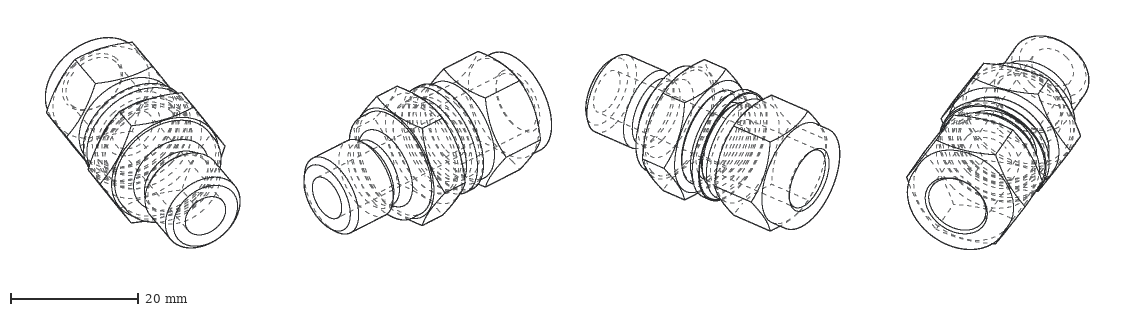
import cadquery as cq
import math


SLEEVE_DIA = 17.0
SLEEVE_ROUND = 0.5
NUT_HEX_START = 3.0
NUT_HEX_END = 11.97
NUT_ACROSS_FLATS = 17.46
NUT_COLLAR_DIA = 16.8
NUT_END = 14.0
NUT_END_ROUND = 0.3

GAP_DIA = 14.28
GAP_END = 15.58
NECK_DIA = 13.05
RECESS_DIA = 17.8
FLANGE_START = 14.83
FLANGE_DIA = 18.25
FLANGE_WIDTH = 1.25
SHOULDER_DIA = 15.8
SHOULDER_CHAMFER = 0.3

BODY_HEX_START = 19.28
BODY_HEX_END = 25.3
BODY_ACROSS_FLATS = 19.05
BODY_FRONT_FACE_DIA = 18.85
BODY_BACK_FACE_DIA = 18.85
HEX_CHAMFER_ANGLE = 30.0
COLLAR_DIA = 17.8
COLLAR_END = 27.3
COLLAR_ROUND = 0.2

CONE_DIA = 13.16
CONE_END = 29.15
UNDERCUT_DIA = 11.2
UNDERCUT_END = 30.3
THREAD_DIA = 13.16
THREAD_CHAMFER = 0.93
TOTAL_LENGTH = 39.31

BORE_DIA = 7.11
SOCKET_DIA = 9.73
SOCKET_DEPTH = NUT_END
SOCKET_CHAMFER = 0.42


def revolve_about_x(profile):
    return profile.close().revolve(360, (0, 0, 0), (1, 0, 0))


def cylinder(start, end, diameter):
    return cq.Workplane("YZ").workplane(offset=start).circle(diameter / 2).extrude(end - start)


def chamfered_hexagon(start, end, across_flats, front_face_dia, back_face_dia):
    """Hexagon with flats facing +Z and -Z, its corners turned down by a cone at each end."""
    corner_radius = across_flats / math.sqrt(3)
    slope = math.tan(math.radians(HEX_CHAMFER_ANGLE))
    front_length = (corner_radius - front_face_dia / 2) * slope
    back_length = (corner_radius - back_face_dia / 2) * slope
    prism = cq.Workplane("YZ").workplane(offset=start).polygon(6, 2 * corner_radius).extrude(end - start)
    envelope = revolve_about_x(
        cq.Workplane("XY")
        .moveTo(start, 0)
        .lineTo(start, front_face_dia / 2)
        .lineTo(start + front_length, corner_radius)
        .lineTo(end - back_length, corner_radius)
        .lineTo(end, back_face_dia / 2)
        .lineTo(end, 0)
    )
    return prism.intersect(envelope)


def tube_nut():
    sleeve = cylinder(0, NUT_HEX_START, SLEEVE_DIA).faces("<X").edges().fillet(SLEEVE_ROUND)
    hexagon = chamfered_hexagon(
        NUT_HEX_START, NUT_HEX_END, NUT_ACROSS_FLATS, SLEEVE_DIA, NUT_COLLAR_DIA
    )
    collar = cylinder(NUT_HEX_END, NUT_END, NUT_COLLAR_DIA).faces(">X").edges().fillet(NUT_END_ROUND)
    return sleeve.union(hexagon).union(collar)


def flange_and_shoulder():
    """Gap and neck, inside a flange with a 45 degree conical recess and a 45 degree back."""
    neck_start = GAP_END + (GAP_DIA - NECK_DIA) / 2
    recess_end = FLANGE_START + (RECESS_DIA - NECK_DIA) / 2
    flange_end = FLANGE_START + FLANGE_WIDTH
    shoulder_start = flange_end + (FLANGE_DIA - SHOULDER_DIA) / 2
    return revolve_about_x(
        cq.Workplane("XY")
        .moveTo(NUT_END, 0)
        .lineTo(NUT_END, GAP_DIA / 2)
        .lineTo(GAP_END, GAP_DIA / 2)
        .lineTo(neck_start, NECK_DIA / 2)
        .lineTo(recess_end, NECK_DIA / 2)
        .lineTo(FLANGE_START, RECESS_DIA / 2)
        .lineTo(FLANGE_START, FLANGE_DIA / 2)
        .lineTo(flange_end, FLANGE_DIA / 2)
        .lineTo(shoulder_start, SHOULDER_DIA / 2)
        .lineTo(BODY_HEX_START - SHOULDER_CHAMFER, SHOULDER_DIA / 2)
        .lineTo(BODY_HEX_START, SHOULDER_DIA / 2 - SHOULDER_CHAMFER)
        .lineTo(BODY_HEX_START, 0)
    )


def body_hexagon():
    hexagon = chamfered_hexagon(
        BODY_HEX_START, BODY_HEX_END, BODY_ACROSS_FLATS, BODY_FRONT_FACE_DIA, BODY_BACK_FACE_DIA
    )
    collar = cylinder(BODY_HEX_END, COLLAR_END, COLLAR_DIA).faces(">X").edges().fillet(COLLAR_ROUND)
    return hexagon.union(collar)


def threaded_end():
    """Cone down to the undercut, then the plain thread cylinder with 45 degree ends."""
    thread_start = UNDERCUT_END + (THREAD_DIA - UNDERCUT_DIA) / 2
    return revolve_about_x(
        cq.Workplane("XY")
        .moveTo(COLLAR_END, 0)
        .lineTo(COLLAR_END, CONE_DIA / 2)
        .lineTo(CONE_END, UNDERCUT_DIA / 2)
        .lineTo(UNDERCUT_END, UNDERCUT_DIA / 2)
        .lineTo(thread_start, THREAD_DIA / 2)
        .lineTo(TOTAL_LENGTH - THREAD_CHAMFER, THREAD_DIA / 2)
        .lineTo(TOTAL_LENGTH, THREAD_DIA / 2 - THREAD_CHAMFER)
        .lineTo(TOTAL_LENGTH, 0)
    )


def bores():
    """Through bore, and the tube socket with its chamfered mouth."""
    return revolve_about_x(
        cq.Workplane("XY")
        .moveTo(0, 0)
        .lineTo(0, SOCKET_DIA / 2 + SOCKET_CHAMFER)
        .lineTo(SOCKET_CHAMFER, SOCKET_DIA / 2)
        .lineTo(SOCKET_DEPTH, SOCKET_DIA / 2)
        .lineTo(SOCKET_DEPTH, BORE_DIA / 2)
        .lineTo(TOTAL_LENGTH, BORE_DIA / 2)
        .lineTo(TOTAL_LENGTH, 0)
    )


solid_fitting = tube_nut().union(flange_and_shoulder()).union(body_hexagon()).union(threaded_end())
result = solid_fitting.cut(bores())